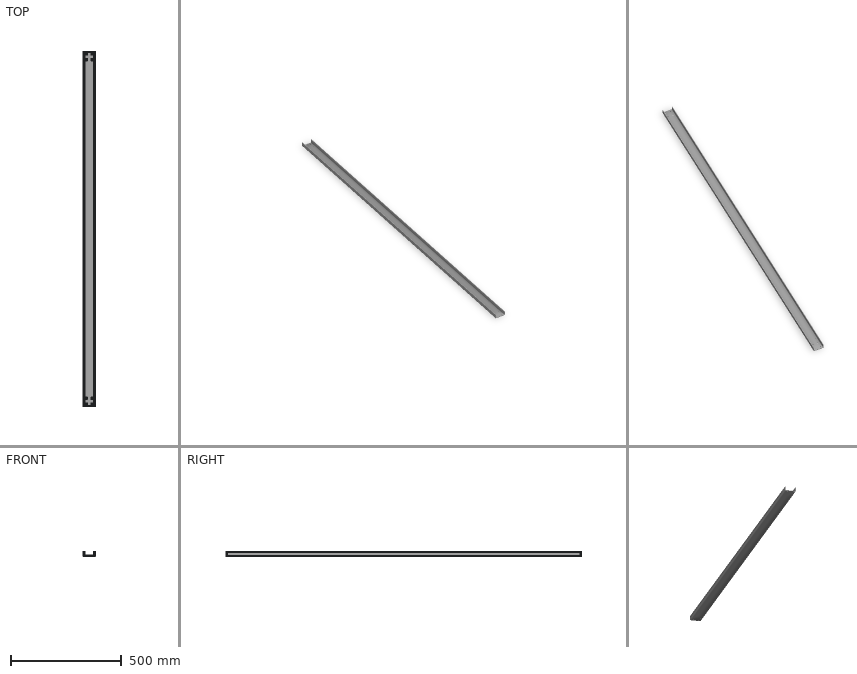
import cadquery as cq

width = 50.0
length = 1600.0
height = 20.0

sheet = 2.5
outer_bend_radius = 3.7
inner_bend_radius = outer_bend_radius - sheet

hole_diameter = 4.2
hole_spacing_x = 25.0
hole_end_distances = (9.5, 35.0)


def make_channel():
    """Return the U-shaped channel, open at the top and at both ends."""
    outside = (
        cq.Workplane("XY")
        .box(width, length, height, centered=(True, True, False))
        .edges("|Y and <Z")
        .fillet(outer_bend_radius)
    )
    inside = (
        cq.Workplane("XY", origin=(0, 0, sheet))
        .box(width - 2 * sheet, length, height, centered=(True, True, False))
        .edges("|Y and <Z")
        .fillet(inner_bend_radius)
    )
    return outside.cut(inside)


def cut_floor_holes(channel):
    """Drill the pairs of fixing holes through the floor at each end."""
    centers = [
        (x_side * hole_spacing_x / 2, y_side * (length / 2 - end_distance))
        for x_side in (-1, 1)
        for y_side in (-1, 1)
        for end_distance in hole_end_distances
    ]
    drills = cq.Workplane("XY").pushPoints(centers).circle(hole_diameter / 2).extrude(sheet)
    return channel.cut(drills)


result = cut_floor_holes(make_channel())